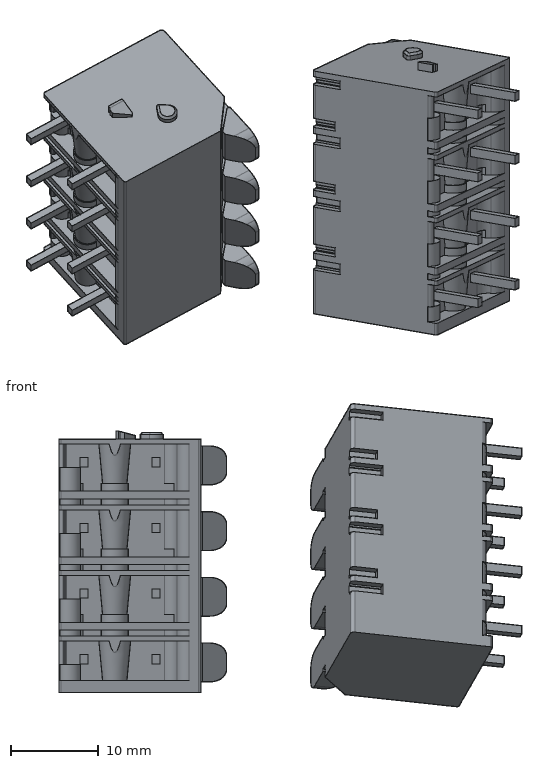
import cadquery as cq
import math


overall_height = 29.9
body_width = 16.27
body_depth = 16.68
body_height = 28.97
front_round = 0.27
rear_round = 0.45
lever_cut_width = 3.95
lever_cut_depth = 3.32

pole_count = 4
pole_pitch = 7.5
top_wall = 0.57
pocket_depth = 1.95
pocket_right = 14.9
upper_height = 4.48
lower_height = 0.9
rib_height = 0.87
gap_height = 0.7
gap_drop = upper_height + lower_height + rib_height

side_opening = 1.23
boss_front = 0.5
boss_width = 2.5
boss_radius = boss_width / 2
boss_drop = 2.7
boss_foot = 2.75
ear_front = 0.72
ear_arc_end = 0.48
ear_tip = 0.6
ear_width = 0.85
ear_chamfer = ear_width - ear_tip

column_x = 6.4
column_y = 1.7
cone_top_radius = 1.82
cone_bottom_radius = 1.4
column_radius = 1.55

ogee_left = 12.1
ogee_step = 13.2

pin_width = 0.9
pin_height = 1.05
pin_drop = 1.55
pin_reach = 4.0
pin_lefts = (2.45, 10.65)
pin_root = 0.3

lever_height = 4.45
lever_drop = 0.2
lever_left = 13.4
lever_tip = 19.2
lever_tip_depth = 0.48
lever_root_depth = 0.42
lever_corner_left = 15.9
lever_corner_right = 16.42
lever_corner_depth = 2.78
lever_flat_end = 17.25
lever_bend_x = 18.4
lever_bend_drop = 0.27
lever_round_drop = 1.35
neck_inset = 0.3
neck_depth = 2.33
neck_overlap = 0.3

slot_depth = 0.9
groove_depth = 0.15
long_slot = 3.75
short_slot = 3.08

top_slot = (0.7, 1.0, 1.3, 0.33)
middle_slot = (5.65, 1.08, 6.35, 0.3)
lower_slot = (7.48, 1.25, 7.68, 0.8)

drop_height = 0.78
drop_chamfer = 0.27
drop_x, drop_y, drop_radius = 10.85, 9.78, 1.1
drop_tip_x, drop_tip_y, drop_tip_radius = 9.6, 9.5, 0.3
wedge_height = overall_height - body_height
wedge_low_height = 0.42
wedge_left, wedge_flat_end, wedge_right = 6.52, 6.82, 8.75
wedge_back = 6.45
wedge_outline = [
    (wedge_left, wedge_back), (8.65, wedge_back), (wedge_right, 6.25),
    (7.5, 4.43), (7.0, 4.43), (6.82, 4.55), (wedge_left, 4.55),
]


def block(x0, x1, y0, y1, z0, z1):
    """Box between two opposite corners."""
    return cq.Workplane("XY").box(x1 - x0, y1 - y0, z1 - z0, centered=False).translate((x0, y0, z0))


def pocket_top(pole):
    return body_height - top_wall - pole * pole_pitch


def housing():
    cut_x = body_width - lever_cut_width
    cut_y = body_depth - lever_cut_depth
    body = block(0, body_width, 0, body_depth, 0, body_height)
    body = body.edges("|Z and <Y").fillet(front_round)
    body = body.edges("|Z and <X and >Y").fillet(rear_round)
    corner = (
        cq.Workplane("XY")
        .polyline([(cut_x, body_depth), (body_width, cut_y), (body_width, body_depth)])
        .close()
        .extrude(body_height)
    )
    return body.cut(corner)


def boss(z0, z1):
    """Rounded boss that closes the left side of a pocket."""
    axis_y = boss_front + boss_radius
    arc_end_x = boss_radius - math.sqrt(boss_radius**2 - (axis_y - side_opening) ** 2)
    return (
        cq.Workplane("XY", origin=(0, 0, z0))
        .moveTo(0, pocket_depth)
        .lineTo(boss_width, pocket_depth)
        .lineTo(boss_width, axis_y)
        .threePointArc((boss_radius, boss_front), (arc_end_x, side_opening))
        .lineTo(0, side_opening)
        .close()
        .extrude(z1 - z0)
    )


def boss_toe(z0, z1):
    """Small slanted foot between the boss and the pocket floor."""
    axis_y = boss_front + boss_radius
    return (
        cq.Workplane("XY", origin=(0, 0, z0))
        .polyline([(boss_radius, pocket_depth), (boss_foot, pocket_depth), (boss_width, axis_y),
                   (boss_radius, axis_y)])
        .close()
        .extrude(z1 - z0)
    )


def ear(z0, z1):
    """Thin left wall above the boss."""
    return (
        cq.Workplane("XY", origin=(0, 0, z0))
        .moveTo(ear_tip, ear_front)
        .lineTo(ear_arc_end, ear_front)
        .tangentArcPoint((0, side_opening), relative=False)
        .lineTo(0, pocket_depth)
        .lineTo(ear_width, pocket_depth)
        .lineTo(ear_width, ear_front + ear_chamfer)
        .close()
        .extrude(z1 - z0)
    )


def ogee(z0, z1):
    """S-shaped right side, rising from the pocket floor to the front face in two equal arcs."""
    half_width = (pocket_right - ogee_left) / 2
    half_depth = pocket_depth / 2
    radius = (half_width**2 + half_depth**2) / (2 * half_depth)
    half_turn = math.asin(half_width / radius) / 2
    arc_middle = (ogee_left + radius * math.sin(half_turn),
                  pocket_depth - radius * (1 - math.cos(half_turn)))
    return (
        cq.Workplane("XY", origin=(0, 0, z0))
        .moveTo(ogee_left, pocket_depth)
        .threePointArc(arc_middle, (ogee_left + half_width, half_depth))
        .tangentArcPoint((pocket_right, 0), relative=False)
        .lineTo(pocket_right, pocket_depth)
        .close()
        .extrude(z1 - z0)
    )


def column(radius, z0, z1):
    return cq.Workplane("XY", origin=(column_x, column_y, z0)).circle(radius).extrude(z1 - z0)


def cone(z0, z1):
    return (
        cq.Workplane("XY", origin=(column_x, column_y, z0))
        .circle(cone_bottom_radius)
        .workplane(offset=z1 - z0)
        .circle(cone_top_radius)
        .loft()
    )


def recess(z0, z1):
    return block(0, pocket_right, 0, pocket_depth, z0, z1)


def upper_void(z0, z1):
    """Open space of the tall part of a pocket, with the tapered column left standing."""
    void = recess(z0, z1).cut(boss(z0, z1 - boss_drop)).cut(ear(z1 - boss_drop, z1))
    return void.cut(cone(z0, z1)).cut(ogee(z0, z1))


def lower_void(z0, z1, ogee_start):
    """Open space beside the straight column; the S-shaped side begins at ogee_start."""
    side = ogee(z0, z1).intersect(block(ogee_start, pocket_right, 0, pocket_depth, z0, z1))
    void = recess(z0, z1).cut(boss(z0, z1)).cut(boss_toe(z0, z1))
    return void.cut(column(column_radius, z0, z1)).cut(side)


def pocket_voids(pole):
    top = pocket_top(pole)
    floor = top - upper_height
    voids = [upper_void(floor, top)]
    if pole < pole_count - 1:
        gap_top = top - gap_drop
        voids.append(lower_void(floor - lower_height, floor, ogee_step))
        voids.append(lower_void(gap_top - gap_height, gap_top, ogee_left))
    return voids


def pins(pole):
    z1 = pocket_top(pole) - pin_drop
    return [block(x, x + pin_width, -pin_reach, pocket_depth + pin_root, z1 - pin_height, z1) for x in pin_lefts]


def lever(pole):
    """Lever with rounded end, plus the neck that joins it to the slanted housing corner."""
    z1 = pocket_top(pole) - lever_drop
    z0 = z1 - lever_height
    middle = (z0 + z1) / 2
    plan = (
        cq.Workplane("XY", origin=(0, 0, z0))
        .polyline([
            (lever_left, body_depth),
            (lever_left, body_depth - lever_root_depth),
            (lever_corner_left, body_depth - lever_corner_depth),
            (lever_corner_right, body_depth - lever_corner_depth),
            (lever_tip, body_depth - lever_tip_depth),
            (lever_tip, body_depth),
        ])
        .close()
        .extrude(lever_height)
    )
    upper_half = (
        cq.Workplane("XZ", origin=(0, body_depth, 0))
        .moveTo(lever_left, z1)
        .lineTo(lever_flat_end, z1)
        .tangentArcPoint((lever_bend_x, z1 - lever_bend_drop), relative=False)
        .tangentArcPoint((lever_tip, z1 - lever_round_drop), relative=False)
        .lineTo(lever_tip, middle)
        .lineTo(lever_left, middle)
        .close()
        .extrude(body_depth)
    )
    side_shape = upper_half.union(upper_half.mirror("XY", (0, 0, middle)))
    cut_x = body_width - lever_cut_width
    neck_end = cut_x + neck_depth * lever_cut_width / lever_cut_depth
    neck = (
        cq.Workplane("XY", origin=(0, 0, z0 + neck_inset))
        .polyline([
            (cut_x - neck_overlap, body_depth),
            (neck_end - neck_overlap, body_depth - neck_depth),
            (neck_end + neck_overlap, body_depth - neck_depth),
            (lever_corner_left, body_depth),
        ])
        .close()
        .extrude(lever_height - 2 * neck_inset)
    )
    return plan.intersect(side_shape).union(neck)


def side_slot(heights, length, shift=0):
    """Slot into the left side with a deeper groove, moved down by shift."""
    drop, height, groove_drop, groove_height = heights
    z1 = body_height - drop - shift
    groove_z1 = body_height - groove_drop - shift
    slot = block(0, slot_depth, body_depth - length, body_depth, z1 - height, z1)
    groove = block(0, slot_depth + groove_depth, body_depth - length, body_depth,
                   groove_z1 - groove_height, groove_z1)
    return slot.union(groove)


def side_slots():
    slots = [side_slot(top_slot, long_slot)]
    for pole in range(pole_count - 1):
        shift = pole * pole_pitch
        slots.append(side_slot(middle_slot, short_slot, shift))
        slots.append(side_slot(lower_slot, long_slot, shift))
    return slots


def drop_bump():
    """Teardrop: two circles joined by their common outer tangents, with a chamfered top."""
    dx = drop_tip_x - drop_x
    dy = drop_tip_y - drop_y
    axis = math.atan2(dy, dx)
    spread = math.acos((drop_radius - drop_tip_radius) / math.hypot(dx, dy))

    def on_big(angle):
        return (drop_x + drop_radius * math.cos(angle), drop_y + drop_radius * math.sin(angle))

    def on_tip(angle):
        return (drop_tip_x + drop_tip_radius * math.cos(angle),
                drop_tip_y + drop_tip_radius * math.sin(angle))

    return (
        cq.Workplane("XY", origin=(0, 0, body_height))
        .moveTo(*on_big(axis + spread))
        .threePointArc(on_big(axis + math.pi), on_big(axis - spread))
        .lineTo(*on_tip(axis - spread))
        .threePointArc(on_tip(axis), on_tip(axis + spread))
        .close()
        .extrude(drop_height)
        .faces(">Z")
        .chamfer(drop_chamfer)
    )


def wedge_bump():
    """Tapering bump whose top slopes down towards +X."""
    outline = cq.Workplane("XY", origin=(0, 0, body_height)).polyline(wedge_outline).close()
    slope = (
        cq.Workplane("XZ", origin=(0, wedge_back, 0))
        .polyline([
            (wedge_left, body_height),
            (wedge_left, body_height + wedge_height),
            (wedge_flat_end, body_height + wedge_height),
            (wedge_right, body_height + wedge_low_height),
            (wedge_right, body_height),
        ])
        .close()
        .extrude(wedge_back)
    )
    return outline.extrude(wedge_height).intersect(slope)


result = housing()
for pole in range(pole_count):
    for void in pocket_voids(pole):
        result = result.cut(void)
for slot in side_slots():
    result = result.cut(slot)
for pole in range(pole_count):
    result = result.union(lever(pole))
    for pin in pins(pole):
        result = result.union(pin)
result = result.union(drop_bump()).union(wedge_bump())